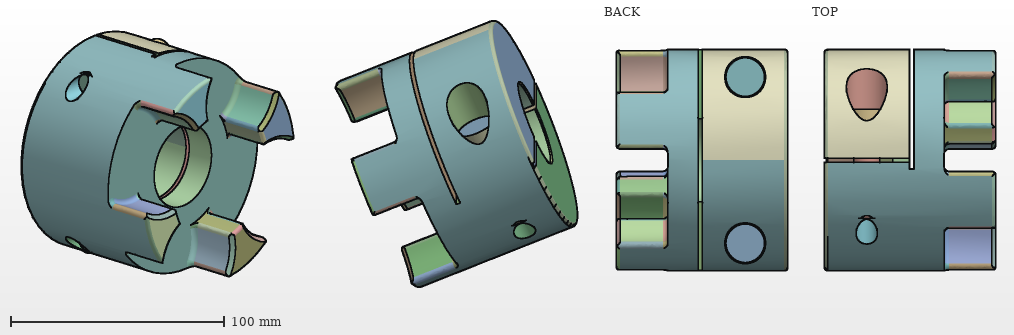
import cadquery as cq
import math

hub_radius = 52.0
hub_length = 80.5
bore_radius = 20.0
end_round = 1.7
bore_chamfer = 0.7

jaw_count = 4
jaw_base = 56.3
jaw_inner_radius = 31.5
first_gap_angle = 22.5
gap_radius = 23.7
gap_center_radius = 40.6
jaw_edge_round = 2.0
jaw_end_chamfer = 2.0
jaw_base_round = 2.3
jaw_length = hub_length - jaw_base

cut_width = 2.0
cross_slot_start = 40.0
cross_slot_floor = -4.1
saw_radius = 80.0
saw_center_x = -38.4
saw_center_z = 17.9

screw_x = 20.0
screw_z = 39.0
shank_radius = 6.0
shank_end = -27.2
head_radius = 9.0
head_height = 12.0
head_top = 23.9
head_seat = head_top - head_height
counterbore_radius = 9.6
exit_hole_radius = 5.0


def cylinder_y(radius, y_start, y_end, x, z):
    """Cylinder along Y between two Y positions."""
    start = cq.Vector(x, y_start, z)
    return cq.Workplane(cq.Solid.makeCylinder(radius, y_end - y_start, start, cq.Vector(0, 1, 0)))


def block(x_range, y_range, z_range):
    """Rectangular block between the given limits."""
    limits = (x_range, y_range, z_range)
    sizes = [high - low for low, high in limits]
    corner = cq.Vector(*[low for low, high in limits])
    return cq.Workplane(cq.Solid.makeBox(*sizes, corner))


def gap_centers():
    """(Y, Z) centre of every gap; positive angles turn from -Y toward +Z."""
    centers = []
    for index in range(jaw_count):
        angle = math.radians(first_gap_angle + index * 360 / jaw_count)
        centers.append((-gap_center_radius * math.cos(angle), gap_center_radius * math.sin(angle)))
    return centers


def make_jaw_prisms():
    """Four straight jaws with rounded long edges."""
    plane = cq.Workplane("YZ", origin=(jaw_base, 0, 0))
    jaws = plane.circle(hub_radius).circle(jaw_inner_radius).extrude(jaw_length)
    jaws = jaws.cut(plane.pushPoints(gap_centers()).circle(gap_radius).extrude(jaw_length))
    return jaws.edges("|X").fillet(jaw_edge_round)


def make_jaw_cutter():
    """Material removed around the jaws, with its base edge rounded along every jaw outline."""
    outer_radius = hub_radius + 2 * jaw_base_round
    cutter = cq.Workplane("YZ", origin=(jaw_base, 0, 0)).circle(outer_radius).extrude(jaw_length)
    cutter = cutter.cut(make_jaw_prisms())
    base_face = cutter.faces("<X").val()
    jaw_outlines = [edge for wire in base_face.innerWires() for edge in wire.Edges()]
    return cutter.newObject(jaw_outlines).fillet(jaw_base_round)


def make_jaw_end_chamfers():
    """Cones that bevel the gap sides at the +X end."""
    start_x = hub_length - jaw_end_chamfer
    end_radius = gap_radius + jaw_end_chamfer
    cones = []
    for y, z in gap_centers():
        start = cq.Vector(start_x, y, z)
        cones.append(cq.Solid.makeCone(gap_radius, end_radius, jaw_end_chamfer, start, cq.Vector(1, 0, 0)))
    return cones


def make_clamp_cuts():
    """Cross slot plus the axial split: full depth above the axis, a saw arc below it."""
    reach = 2 * hub_radius
    half_width = cut_width / 2
    cross_slot_end = cross_slot_start + cut_width
    cross_slot = block((cross_slot_start, cross_slot_end), (cross_slot_floor, reach), (-reach, reach))
    upper_split = block((0, cross_slot_end), (-half_width, half_width), (0, reach))
    saw_disc = cylinder_y(saw_radius, -half_width, half_width, saw_center_x, saw_center_z)
    lower_split = block((0, cross_slot_start), (-half_width, half_width), (-reach, 0)).intersect(saw_disc)
    return cross_slot.union(upper_split).union(lower_split)


def make_screw_hole(z):
    """Counterbore, shank hole and narrower exit hole on one screw axis."""
    counterbore = cylinder_y(counterbore_radius, head_seat, hub_radius, screw_x, z)
    shank_hole = cylinder_y(shank_radius, shank_end, head_seat, screw_x, z)
    exit_hole = cylinder_y(exit_hole_radius, -hub_radius, shank_end, screw_x, z)
    return counterbore.union(shank_hole).union(exit_hole)


def make_blank():
    """Round bar with the recess inside the jaws and rounded end edges."""
    blank = cq.Workplane("YZ").circle(hub_radius).extrude(hub_length)
    recess = cq.Workplane("YZ", origin=(jaw_base, 0, 0)).circle(jaw_inner_radius).extrude(jaw_length)
    return blank.cut(recess).faces("<X or >X").edges().fillet(end_round)


def cut_jaws(hub):
    """Leave the jaws standing on the hub and bevel their ends."""
    hub = hub.cut(make_jaw_cutter())
    for cone in make_jaw_end_chamfers():
        hub = hub.cut(cq.Workplane(cone))
    return hub


def cut_bore(hub):
    """Through bore, chamfered at the clamping end."""
    hub = hub.cut(cq.Workplane("YZ").circle(bore_radius).extrude(hub_length))
    bore_edge = hub.faces("<X").edges(cq.selectors.RadiusNthSelector(0))
    return bore_edge.chamfer(bore_chamfer)


def make_hub(screw_positions):
    """Hub and clamp half as one solid joined by the bottom web."""
    hub = cut_bore(cut_jaws(make_blank()))
    hub = hub.cut(make_clamp_cuts())
    for z in screw_positions:
        hub = hub.cut(make_screw_hole(z))
    return hub.solids()


def make_screw(z):
    """Clamp screw: plain cylindrical head and shank."""
    head = cylinder_y(head_radius, head_seat, head_top, screw_x, z)
    shank = cylinder_y(shank_radius, shank_end, head_seat, screw_x, z)
    return head.union(shank).solids()


screw_positions = (screw_z, -screw_z)
hub = make_hub(screw_positions)
screws = [make_screw(z) for z in screw_positions]

result = cq.Compound.makeCompound([hub.val(), *[screw.val() for screw in screws]])